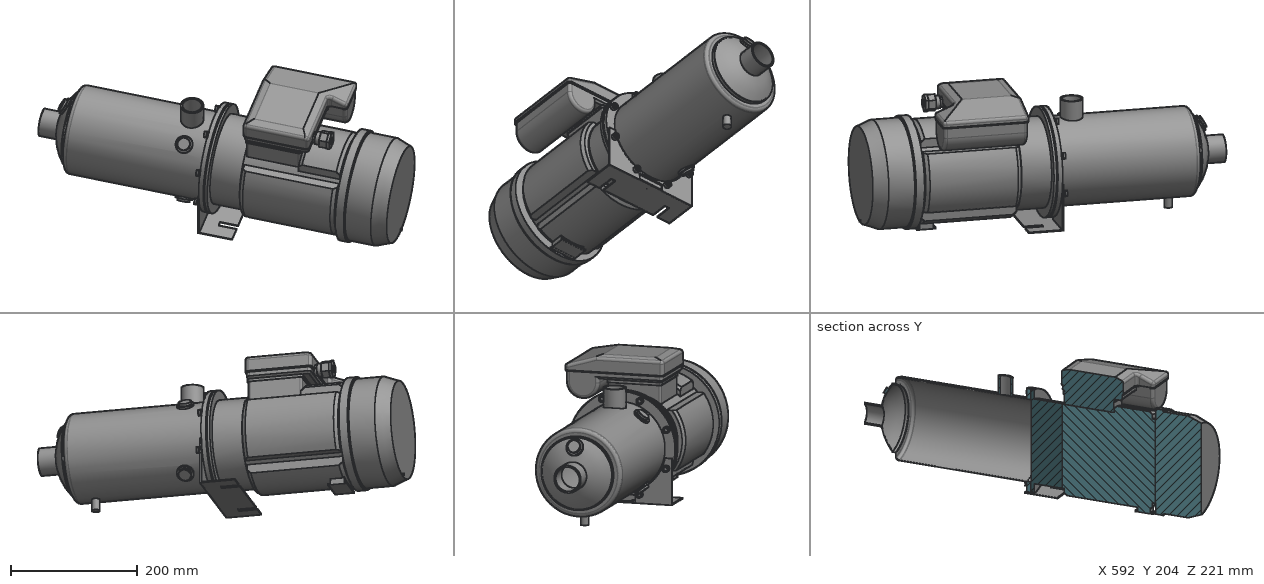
import cadquery as cq
import math


dome_rim_x = 48.5
shell_x = 54.0
bracket_x = 280.5
sheet = 3.0
flange_x = bracket_x + sheet
joint_x = 291.5
adapter_flange_end = 298.0
adapter_end = 346.5
frame_x = 349.0
frame_end = 504.5
fan_cover_x = 509.0
fan_cover_end = 590.5
overall_length = 592.0

shell_radius = 71.5
shell_bore = 140.0 / 2
shell_wall = shell_radius - shell_bore
shell_round = 6.5
dome_rim_radius = 59.0
dome_sphere = 90.5
dome_center_x = dome_rim_x + math.sqrt(dome_sphere**2 - dome_rim_radius**2)
inlet_radius = 44.5 / 2
inlet_bore = 39.0 / 2
outlet_x = 247.0
outlet_top = 101.0
outlet_radius = 36.0 / 2
outlet_bore = 30.0 / 2
drain_x = 89.5
drain_radius = 13.0 / 2
flange_radius = 176.5 / 2
base_z = -90.0
floor_top = -flange_radius

plug_collar_radius = 13.5
plug_collar_height = 2.5
plug_head_radius = 20.0 / 2
plug_head_height = 6.5
plug_root = 2.0
dome_plug_angle = 29
side_plug_angle = 52

screw_count = 8
screw_circle = 81.0
screw_head_radius = 10.0 / 2
screw_head_length = 7.0
screw_socket_radius = 7.0 / 2
screw_socket_depth = 3.5

foot_half_width = 83.5
foot_top = -15.0
foot_end = 337.5
foot_shell_gap = 2.0
foot_window_half_width = 23.0
foot_window_top = -77.0
foot_slot_y = 54.5
foot_slot_width = 8.0
foot_slot_length = 29.5

adapter_radius = 73.0
joint_groove_width = 2.0
joint_groove_depth = 2.0
frame_radius = 72.0
panel_radius = 83.5
panel_half_width = 48.5
panel_end_length = 6.0
panel_end_drop = 4.0
rear_foot_x = 473.5
rear_block_x = 478.0
rear_block_end = 500.5

cover_ring_radius = -base_z
cover_ring_end = 523.0
cover_step_end = 524.5
cover_step_radius = 88.0
cover_radius = 174.0 / 2
cover_cone_x = 566.5
cover_end_radius = 78.0
pip_radius = 2.0
pip_z = -74.5

box_x = 344.5
box_end = 453.5
capacitor_end = 485.0
box_y_min = -49.0
box_y_step = 57.5
box_y_max = 114.0
box_round = 5.5
box_bottom = 92.5
box_seam = 104.0
box_top = 131.0
lid_overhang = 2.0
roof_x_min = 359.0
roof_x_max = 439.5
roof_y_min = -32.0
roof_y_max = 54.5
roof_eave = 113.0
roof_small_drop = 3.5
base_rim_height = 2.0
base_rim_inset = 0.5
base_bevel = 3.5
column_end = 436.5
column_half_width = 44.0
column_corner = 3.0
column_rim_z = 87.5
column_rim_step = 1.0
capacitor_radius = 27.0
capacitor_y = 85.0
capacitor_bottom = 59.0
capacitor_round = 5.5

gland_y = -20.0
gland_z = 105.5
gland_neck_radius = 17.0 / 2
gland_collar_x = 457.0
gland_collar_radius = 21.0 / 2
gland_nut_x = 465.0
gland_nut_flats = 23.5
gland_nut_end = 477.0
gland_cap_flats = 25.0
gland_cap_end = 482.0
gland_tip_end = 484.5
gland_tip_radius = 12.0 / 2


def disc(x_start, x_end, radius, y=0.0, z=0.0):
    """Cylinder parallel to the X axis."""
    plane = cq.Plane((x_start, y, z), xDir=(0, 1, 0), normal=(1, 0, 0))
    return cq.Workplane(plane).circle(radius).extrude(x_end - x_start)


def block(x_range, y_range, z_range):
    """Box given by its limits along each axis."""
    return cq.Workplane("XY").box(
        x_range[1] - x_range[0], y_range[1] - y_range[0], z_range[1] - z_range[0], centered=False
    ).translate((x_range[0], y_range[0], z_range[0]))


def shell_solid(offset, end_x):
    """Solid of revolution of dome and shell, moved inwards by the offset."""
    sphere = dome_sphere - offset
    rim_radius = dome_rim_radius - offset
    rim_x = dome_center_x - math.sqrt(sphere**2 - rim_radius**2)
    half_angle = math.asin(rim_radius / sphere) / 2
    front_x = shell_x + offset
    radius = shell_radius - offset
    round_radius = shell_round - offset
    round_cut = round_radius * (1 - math.sqrt(0.5))
    return (
        cq.Workplane("XY")
        .moveTo(dome_center_x - sphere, 0)
        .threePointArc(
            (dome_center_x - sphere * math.cos(half_angle), sphere * math.sin(half_angle)),
            (rim_x, rim_radius),
        )
        .lineTo(front_x, rim_radius)
        .lineTo(front_x, radius - round_radius)
        .threePointArc((front_x + round_cut, radius - round_cut), (front_x + round_radius, radius))
        .lineTo(end_x, radius)
        .lineTo(end_x, 0)
        .close()
        .revolve(360, (0, 0, 0), (1, 0, 0))
    )


def plug(center, normal):
    """Screw plug with a collar and a round head, standing on the given surface point."""
    start = cq.Vector(*center) - cq.Vector(*normal) * plug_root
    plane = cq.Plane(start.toTuple(), normal=normal)
    collar = cq.Workplane(plane).circle(plug_collar_radius).extrude(plug_root + plug_collar_height)
    head = cq.Workplane(plane).circle(plug_head_radius).extrude(plug_root + plug_head_height)
    return collar.union(head)


def dome_plug():
    """Plug on the upper part of the dome, square to its surface."""
    angle = math.radians(dome_plug_angle)
    normal = (-math.cos(angle), 0, math.sin(angle))
    return plug((dome_center_x + dome_sphere * normal[0], 0, dome_sphere * normal[2]), normal)


def side_plug(side):
    """Plug on the -Y side of the shell, above (side 1) or below (side -1) the shaft."""
    angle = math.radians(side * side_plug_angle)
    normal = (0, -math.cos(angle), math.sin(angle))
    return plug((outlet_x, shell_radius * normal[1], shell_radius * normal[2]), normal)


def screw_heads(seat_x, upper):
    """Socket-head screws of the upper or the lower half of the flange circle."""
    heads = cq.Workplane("XY")
    first = 0 if upper else screw_count // 2
    for index in range(first, first + screw_count // 2):
        angle = 2 * math.pi * (index + 0.5) / screw_count
        y = screw_circle * math.cos(angle)
        z = screw_circle * math.sin(angle)
        head_x = seat_x - screw_head_length
        head = disc(head_x, seat_x, screw_head_radius, y, z)
        heads = heads.add(head.cut(disc(head_x, head_x + screw_socket_depth, screw_socket_radius, y, z)))
    return heads.combine()


def make_casing():
    """Hollow pump casing with its pipes, plugs, flange and upper flange screws."""
    casing = shell_solid(0, joint_x).union(disc(flange_x, joint_x, flange_radius))
    casing = casing.union(disc(0, dome_rim_x, inlet_radius))
    casing = casing.union(cq.Workplane("XY").center(outlet_x, 0).circle(outlet_radius).extrude(outlet_top))
    casing = casing.union(cq.Workplane("XY").center(drain_x, 0).circle(drain_radius).extrude(base_z))
    casing = casing.union(dome_plug())
    for side in (1, -1):
        casing = casing.union(side_plug(side))
    casing = casing.cut(shell_solid(shell_wall, joint_x)).cut(disc(0, dome_rim_x, inlet_bore))
    casing = casing.cut(cq.Workplane("XY").center(outlet_x, 0).circle(outlet_bore).extrude(outlet_top))
    return casing.union(screw_heads(flange_x, upper=True))


def make_front_foot():
    """Bent sheet foot in front of the flange, with the lower flange screws."""
    full_width = (-foot_half_width, foot_half_width)
    foot = block((bracket_x, flange_x), full_width, (base_z, foot_top))
    foot = foot.cut(disc(bracket_x, flange_x, shell_radius + foot_shell_gap))
    window = (-foot_window_half_width, foot_window_half_width)
    foot = foot.cut(block((bracket_x, flange_x), window, (floor_top, foot_window_top)))
    foot = foot.union(block((bracket_x, foot_end), full_width, (base_z, floor_top)))
    for side in (1, -1):
        slot_center = side * foot_slot_y
        slot = (slot_center - foot_slot_width / 2, slot_center + foot_slot_width / 2)
        foot = foot.cut(block((foot_end - foot_slot_length, foot_end), slot, (base_z, floor_top)))
    return foot.union(screw_heads(bracket_x, upper=False))


def make_adapter():
    """Flanged adapter between casing and motor, with a narrow groove at the flange joint."""
    groove_end = joint_x + joint_groove_width
    adapter = disc(joint_x, groove_end, flange_radius - joint_groove_depth)
    adapter = adapter.union(disc(groove_end, adapter_flange_end, flange_radius))
    return adapter.union(disc(adapter_flange_end, adapter_end, adapter_radius))


def frame_panel(start_x):
    """Raised panel on top of the motor frame, with a curved face and tapered ends."""
    end_x = frame_end
    shoulder = panel_radius - panel_end_drop
    blank = (
        cq.Workplane("XY")
        .polyline([
            (start_x, 0),
            (start_x, shoulder),
            (start_x + panel_end_length, panel_radius),
            (end_x - panel_end_length, panel_radius),
            (end_x, shoulder),
            (end_x, 0),
        ])
        .close()
        .revolve(360, (0, 0, 0), (1, 0, 0))
    )
    sides = (-panel_half_width, panel_half_width)
    return blank.intersect(block((start_x, end_x), sides, (0, panel_radius)))


def make_motor():
    """Motor frame with four raised panels; the top one stops behind the terminal box."""
    motor = disc(adapter_end, fan_cover_x, frame_radius).union(frame_panel(column_end))
    for angle in (90, 180, 270):
        motor = motor.union(frame_panel(frame_x).rotate((0, 0, 0), (1, 0, 0), angle))
    pad_y = (-foot_window_half_width, foot_window_half_width)
    motor = motor.union(block((rear_block_x, rear_block_end), pad_y, (base_z, -frame_radius)))
    return motor.union(block((rear_foot_x, frame_end), pad_y, (base_z, floor_top)))


def make_fan_cover():
    """Fan cover with a stepped front ring, a conical end and a small pip on the end face."""
    cover = (
        cq.Workplane("XY")
        .polyline([
            (fan_cover_x, 0),
            (fan_cover_x, cover_ring_radius),
            (cover_ring_end, cover_ring_radius),
            (cover_ring_end, cover_step_radius),
            (cover_step_end, cover_step_radius),
            (cover_step_end, cover_radius),
            (cover_cone_x, cover_radius),
            (fan_cover_end, cover_end_radius),
            (fan_cover_end, 0),
        ])
        .close()
        .revolve(360, (0, 0, 0), (1, 0, 0))
    )
    return cover.union(disc(fan_cover_end, overall_length, pip_radius, 0, pip_z))


def box_outline(inset, bottom, top):
    """L-shaped prism of the terminal box, with its sides moved inwards by the inset."""
    return (
        cq.Workplane("XY", origin=(0, 0, bottom))
        .polyline([
            (box_x + inset, box_y_min + inset),
            (box_end - inset, box_y_min + inset),
            (box_end - inset, box_y_step + inset),
            (capacitor_end - inset, box_y_step + inset),
            (capacitor_end - inset, box_y_max - inset),
            (box_x + inset, box_y_max - inset),
        ])
        .close()
        .extrude(top - bottom)
    )


def roof_section(plane, start, low, high, end):
    """Prism whose top is flat from low to high, falls slightly before and steeply after it."""
    return (
        cq.Workplane(plane)
        .polyline([
            (start, box_seam),
            (start, box_top - roof_small_drop),
            (low, box_top),
            (high, box_top),
            (end, roof_eave),
            (end, box_seam),
        ])
        .close()
        .extrude(overall_length, both=True)
    )


def make_lid():
    """Lid with a flat rectangle on top, sloping roof faces around it and rounded corners and eaves."""
    along_x = roof_section("XZ", box_x, roof_x_min, roof_x_max, capacitor_end)
    along_y = roof_section("YZ", box_y_min, roof_y_min, roof_y_max, box_y_max)
    lid = box_outline(0, box_seam, box_top).intersect(along_x).intersect(along_y)
    wall_edges = lid.faces("#Z").edges()
    return wall_edges.filter(lambda edge: edge.Center().z > box_seam + box_round / 2).fillet(box_round)


def box_column(growth, bottom):
    """Rounded upright under the box, widened on every side by the growth."""
    half_width = column_half_width + growth
    column = block(
        (frame_x - growth, column_end + growth), (-half_width, half_width), (bottom, box_bottom)
    )
    return column.edges("|Z").fillet(column_corner)


def make_terminal_box():
    """Terminal box on its column, with the capacitor housing hanging at the +Y side."""
    rim_bottom = box_seam - base_rim_height
    base = box_outline(lid_overhang, box_bottom, rim_bottom).edges("|Z").fillet(box_round)
    base = base.faces("<Z").edges().chamfer(base_bevel)
    rim = box_outline(base_rim_inset, rim_bottom, box_seam).edges("|Z").fillet(box_round)
    base = base.union(rim)
    column = box_column(0, 0).union(box_column(column_rim_step, column_rim_z))
    column = column.cut(disc(frame_x, column_end, frame_radius))
    capacitor_z = capacitor_bottom + capacitor_radius
    capacitor_x = (box_x + lid_overhang, capacitor_end - lid_overhang)
    capacitor_sides = (capacitor_y - capacitor_radius, capacitor_y + capacitor_radius)
    capacitor = (
        cq.Workplane("YZ", origin=(capacitor_x[0], 0, 0))
        .moveTo(capacitor_sides[0], box_seam)
        .lineTo(capacitor_sides[0], capacitor_z)
        .threePointArc((capacitor_y, capacitor_bottom), (capacitor_sides[1], capacitor_z))
        .lineTo(capacitor_sides[1], box_seam)
        .close()
        .extrude(capacitor_x[1] - capacitor_x[0])
        .faces("<X or >X")
        .edges("not(>Z)")
        .fillet(capacitor_round)
    )
    return make_lid().union(base).union(column).union(capacitor)


def gland_hexagon(x_start, x_end, flats):
    """Hexagonal section of the gland with two corners pointing up and down."""
    plane = cq.Plane((x_start, gland_y, gland_z), xDir=(0, 0, 1), normal=(1, 0, 0))
    return cq.Workplane(plane).polygon(6, flats / math.cos(math.pi / 6)).extrude(x_end - x_start)


def make_gland():
    """Cable gland seated in the +X side of the terminal box."""
    gland = disc(box_end - lid_overhang, gland_collar_x, gland_neck_radius, gland_y, gland_z)
    gland = gland.union(disc(gland_collar_x, gland_nut_x, gland_collar_radius, gland_y, gland_z))
    gland = gland.union(gland_hexagon(gland_nut_x, gland_nut_end, gland_nut_flats))
    gland = gland.union(gland_hexagon(gland_nut_end, gland_cap_end, gland_cap_flats))
    return gland.union(disc(gland_cap_end, gland_tip_end, gland_tip_radius, gland_y, gland_z))


casing = make_casing()
front_foot = make_front_foot()
adapter = make_adapter()
motor = make_motor()
fan_cover = make_fan_cover()
gland = make_gland()
terminal_box = make_terminal_box().cut(gland)

result = cq.Compound.makeCompound([
    casing.val(),
    front_foot.val(),
    adapter.val(),
    motor.val(),
    terminal_box.val(),
    gland.val(),
    fan_cover.val(),
])